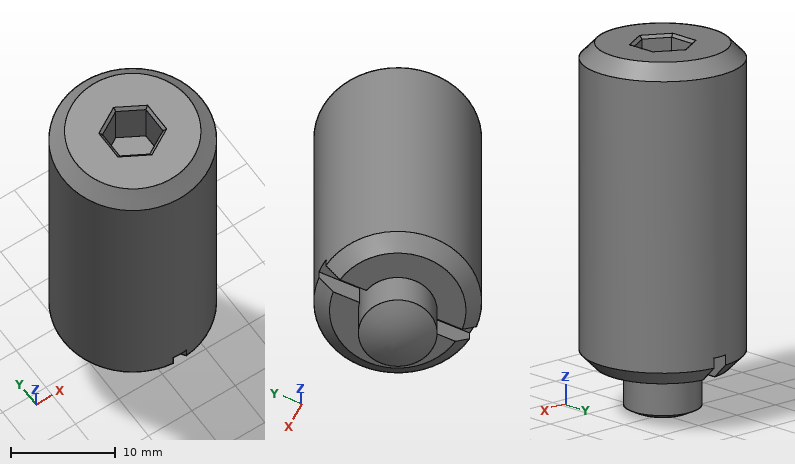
import cadquery as cq
import math

body_diameter = 16.0
body_length = 32.0
body_chamfer = 1.5

pin_diameter = 7.5
pin_projection = 5.0
dome_radius = pin_diameter
dome_height = dome_radius - math.sqrt(dome_radius**2 - (pin_diameter / 2) ** 2)

slot_width = 1.5
slot_depth = 2.5

socket_across_flats = 5.0
socket_depth = 5.0
socket_chamfer = 0.3
socket_chamfer_angle = 45.0


def hexagon_circle(across_flats):
    """Diameter of the circle through the corners of a hexagon."""
    return across_flats / math.cos(math.pi / 6)


def make_body():
    body = cq.Workplane("XY").circle(body_diameter / 2).extrude(body_length)
    return body.edges("%CIRCLE").chamfer(body_chamfer)


def cut_slot(body):
    slot = cq.Workplane("XY").rect(slot_width, body_diameter).extrude(slot_depth)
    return body.cut(slot)


def make_pin():
    """Revolved pin that reaches up to the slot floor and ends in a dome."""
    radius = pin_diameter / 2
    tip_z = -pin_projection
    rim_z = tip_z + dome_height
    middle_angle = math.asin(radius / dome_radius) / 2
    arc_middle = (
        dome_radius * math.sin(middle_angle),
        tip_z + dome_radius * (1 - math.cos(middle_angle)),
    )
    profile = (
        cq.Workplane("XZ")
        .moveTo(0, slot_depth)
        .lineTo(radius, slot_depth)
        .lineTo(radius, rim_z)
        .threePointArc(arc_middle, (0, tip_z))
        .close()
    )
    return profile.revolve(360, (0, 0), (0, 1))


def make_socket():
    """Hexagonal prism with a bevelled lead-in at the top face."""
    top = cq.Workplane("XY", origin=(0, 0, body_length)).transformed(rotate=(0, 0, 90))
    prism = top.polygon(6, hexagon_circle(socket_across_flats)).extrude(-socket_depth)
    mouth_across_flats = socket_across_flats + 2 * socket_chamfer
    mouth = top.polygon(6, hexagon_circle(mouth_across_flats))
    lead_in = mouth.extrude(-socket_chamfer, taper=socket_chamfer_angle)
    return prism.union(lead_in)


result = cut_slot(make_body()).union(make_pin()).cut(make_socket())